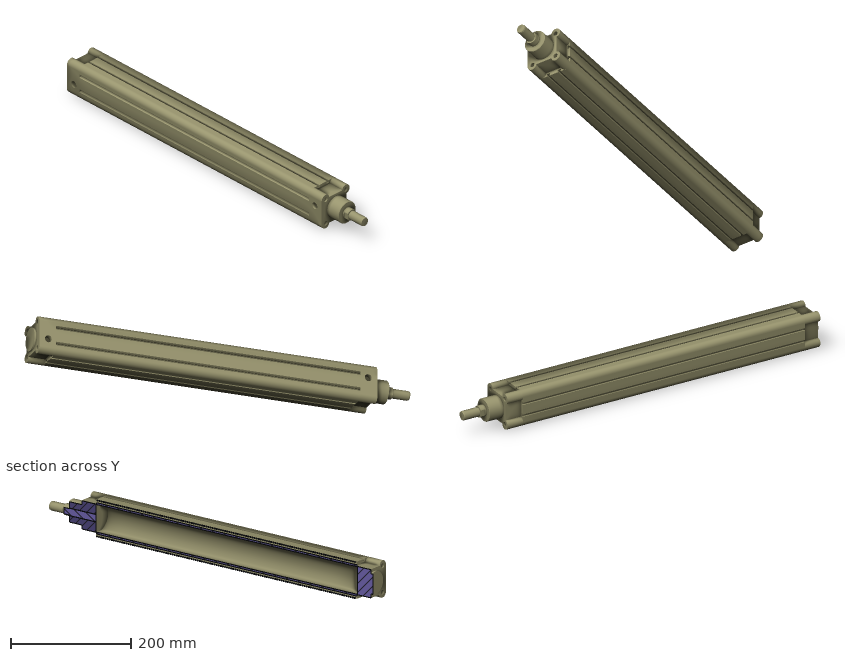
import cadquery as cq
import math

WIDTH = 65.0
TOTAL_LENGTH = 679.0
CORNER_RADIUS = 9.5

BOSS_DEPTH = 3.5
CAP_LENGTH = 30.0
REAR_CAP_START = BOSS_DEPTH
TUBE_START = REAR_CAP_START + CAP_LENGTH
FRONT_CAP_END = 610.0
TUBE_END = FRONT_CAP_END - CAP_LENGTH
COLLAR_END = 637.0
STUD_START = 648.0

BOSS_DIAMETER = 40.0
COLLAR_CHAMFER = 1.0
RECESS_DEPTH = 7.5
SCREW_OFFSET = 23.0
SCREW_BORE_DIAMETER = 8.0
SCREW_BORE_DEPTH = 4.0
SCREW_CORE_DIAMETER = 6.0
SCREW_CORE_DEPTH = 8.0
PORT_DIAMETER = 12.0
PORT_DEPTH = 10.0
PORT_HEIGHT = 8.0
PORT_INSET = 16.0

BORE_DIAMETER = 50.0
SLOT_DEPTH = 5.0
T_SLOT_OFFSET = 11.0
T_SLOT_NECK_WIDTH = 4.0
T_SLOT_NECK_DEPTH = 2.0
T_SLOT_WIDTH = 6.0
FLARED_SLOT_OFFSET = 14.0
FLARED_SLOT_MOUTH_WIDTH = 6.0
FLARE_DEPTH = 3.5
FLARED_SLOT_WIDTH = 2.0

ROD_DIAMETER = 20.5
FLAT_SPACING = 17.0
FLAT_START = 639.0
STUD_DIAMETER = 16.0
STUD_CHAMFER_LENGTH = 2.0
STUD_CHAMFER_HEIGHT = 1.0
RELIEF_DIAMETER = 15.0
RELIEF_LENGTH = 2.0


def rounded_bar(start, length):
    """Square bar along X with rounded long edges."""
    bar = cq.Workplane("YZ", origin=(start, 0, 0)).rect(WIDTH, WIDTH).extrude(length)
    return bar.edges("|X").fillet(CORNER_RADIUS)


def rod_along_x(diameter, start, end):
    """Cylinder on the main axis between two X stations."""
    return cq.Workplane("YZ", origin=(start, 0, 0)).circle(diameter / 2).extrude(end - start)


def screw_cylinders(radius, start, length):
    """Four cylinders on the corner screw axes."""
    spacing = 2 * SCREW_OFFSET
    plane = cq.Workplane("YZ", origin=(start, 0, 0))
    return plane.rect(spacing, spacing, forConstruction=True).vertices().circle(radius).extrude(length)


def cap_block(start):
    """Cap with round corner lobes and recesses on +Y, +Z and -Z; the -Y side stays flat."""
    outer = WIDTH / 2
    floor = outer - RECESS_DEPTH
    tangent = outer - CORNER_RADIUS
    corner_mid = tangent + CORNER_RADIUS * math.sqrt(0.5)
    lobe_edge = tangent - RECESS_DEPTH
    lobe_near = tangent - RECESS_DEPTH * math.sqrt(0.5)
    lobe_high = floor + RECESS_DEPTH * math.sqrt(0.5)
    outline = (
        cq.Workplane("YZ", origin=(start, 0, 0))
        .moveTo(-outer, tangent)
        .threePointArc((-corner_mid, corner_mid), (-tangent, outer))
        .threePointArc((-lobe_near, lobe_high), (-lobe_edge, floor))
        .lineTo(lobe_edge, floor)
        .threePointArc((lobe_near, lobe_high), (tangent, outer))
        .threePointArc((corner_mid, corner_mid), (outer, tangent))
        .threePointArc((lobe_high, lobe_near), (floor, lobe_edge))
        .lineTo(floor, -lobe_edge)
        .threePointArc((lobe_high, -lobe_near), (outer, -tangent))
        .threePointArc((corner_mid, -corner_mid), (tangent, -outer))
        .threePointArc((lobe_near, -lobe_high), (lobe_edge, -floor))
        .lineTo(-lobe_edge, -floor)
        .threePointArc((-lobe_near, -lobe_high), (-tangent, -outer))
        .threePointArc((-corner_mid, -corner_mid), (-outer, -tangent))
        .close()
    )
    return outline.extrude(CAP_LENGTH)


def port(x, z):
    """Blind air port entering from the -Y side."""
    plane = cq.Workplane("XZ", origin=(x, -WIDTH / 2, z))
    return plane.circle(PORT_DIAMETER / 2).extrude(-PORT_DEPTH)


def screw_bores(face_x, inward):
    """Stepped blind screw bores in a cap end face; inward is the X direction of the cut."""
    bores = screw_cylinders(SCREW_BORE_DIAMETER / 2, face_x, inward * SCREW_BORE_DEPTH)
    return bores.union(screw_cylinders(SCREW_CORE_DIAMETER / 2, face_x, inward * SCREW_CORE_DEPTH))


def make_rear_cap():
    cap = cap_block(REAR_CAP_START).union(rod_along_x(BOSS_DIAMETER, 0, REAR_CAP_START))
    cap = cap.cut(port(REAR_CAP_START + PORT_INSET, -PORT_HEIGHT))
    return cap.cut(screw_bores(REAR_CAP_START, 1))


def make_front_cap():
    collar = rod_along_x(BOSS_DIAMETER, FRONT_CAP_END, COLLAR_END).faces(">X").chamfer(COLLAR_CHAMFER)
    cap = cap_block(TUBE_END).union(collar)
    cap = cap.cut(port(FRONT_CAP_END - PORT_INSET, PORT_HEIGHT))
    cap = cap.cut(screw_bores(FRONT_CAP_END, -1))
    return cap.cut(rod_along_x(ROD_DIAMETER, TUBE_END, COLLAR_END))


def slot_pair(half_profile, offset, angle):
    """Two slots along the +Z face of the tube, turned about X by angle.

    half_profile lists (half width, depth) points from the surface to the slot floor.
    """
    surface = WIDTH / 2
    slots = cq.Workplane("YZ", origin=(TUBE_START, 0, 0))
    for centre in (-offset, offset):
        right = [(centre + half_width, surface - depth) for half_width, depth in half_profile]
        left = [(centre - half_width, surface - depth) for half_width, depth in reversed(half_profile)]
        slots = slots.polyline(right + left).close()
    return slots.extrude(TUBE_END - TUBE_START).rotate((0, 0, 0), (1, 0, 0), angle)


def make_tube():
    tube = rounded_bar(TUBE_START, TUBE_END - TUBE_START)
    tube = tube.cut(rod_along_x(BORE_DIAMETER, TUBE_START, TUBE_END))
    t_slot = [
        (T_SLOT_NECK_WIDTH / 2, 0),
        (T_SLOT_NECK_WIDTH / 2, T_SLOT_NECK_DEPTH),
        (T_SLOT_WIDTH / 2, T_SLOT_NECK_DEPTH),
        (T_SLOT_WIDTH / 2, SLOT_DEPTH),
    ]
    flared_slot = [
        (FLARED_SLOT_MOUTH_WIDTH / 2, 0),
        (FLARED_SLOT_WIDTH / 2, FLARE_DEPTH),
        (FLARED_SLOT_WIDTH / 2, SLOT_DEPTH),
    ]
    for angle in (-90, 0, 180):
        tube = tube.cut(slot_pair(t_slot, T_SLOT_OFFSET, angle))
    return tube.cut(slot_pair(flared_slot, FLARED_SLOT_OFFSET, 90))


def make_rod():
    rod = rod_along_x(ROD_DIAMETER, TUBE_END, STUD_START)
    flat_length = STUD_START - FLAT_START
    for side in (-1, 1):
        y = side * (FLAT_SPACING / 2 + ROD_DIAMETER / 2)
        plane = cq.Workplane("YZ", origin=(FLAT_START, y, 0))
        rod = rod.cut(plane.rect(ROD_DIAMETER, ROD_DIAMETER).extrude(flat_length))
    relief_end = STUD_START + RELIEF_LENGTH
    relief = rod_along_x(RELIEF_DIAMETER, STUD_START, relief_end)
    stud = rod_along_x(STUD_DIAMETER, relief_end, TOTAL_LENGTH)
    stud = stud.faces(">X").edges().chamfer(STUD_CHAMFER_LENGTH, STUD_CHAMFER_HEIGHT)
    return rod.union(relief).union(stud)


rear_cap = make_rear_cap()
tube = make_tube()
front_cap = make_front_cap()
piston_rod = make_rod()

result = cq.Compound.makeCompound([rear_cap.val(), tube.val(), front_cap.val(), piston_rod.val()])